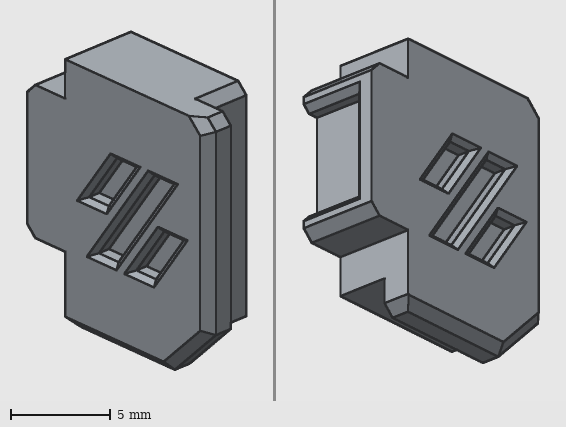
import cadquery as cq
import math

WIDTH = 13.2
DEPTH = 4.6
HEIGHT = 15.0
TAB_LENGTH = 2.77
TAB_BOTTOM = 4.2
TAB_TOP = 12.8
FLANGE_THICKNESS = 1.6
FLANGE_OVERHANG = 2.0
CORNER_CHAMFER = 0.6
BIG_CHAMFER = 3.0
FRONT_CHAMFER = 0.56

RECESS_DEPTH = 1.0
RECESS_FRONT = 1.2
RECESS_BOTTOM = 5.6
RECESS_TOP = 11.4
RECESS_CHAMFER = 0.4

SLOT_WIDTH = 2.16
SLOT_PITCH = 2.74
SLOT_SLANT = math.radians(35)
SLOT_DEPTH = 1.0
SLOT_CHAMFER = 0.3
SLOTS_LEFT = 4.36
SLOTS_BOTTOM = 4.48
LONG_SLOT_HEIGHT = 6.4
SHORT_SLOT_HEIGHT = 3.5


def prism(points, y_front, y_back):
    """Extrude an XZ outline from y_front to y_back."""
    plane = cq.Workplane("XZ", origin=(0, y_front, 0))
    return plane.polyline(points).close().extrude(y_front - y_back)


def make_flange():
    """Thin front plate with a bevelled front rim on the right and the bottom."""
    left = TAB_LENGTH
    outline = [
        (left, HEIGHT),
        (left, 0),
        (WIDTH - BIG_CHAMFER, 0),
        (WIDTH, BIG_CHAMFER),
        (WIDTH, HEIGHT - CORNER_CHAMFER),
        (WIDTH - CORNER_CHAMFER, HEIGHT),
    ]
    plate = prism(outline, 0, FLANGE_THICKNESS)
    plate = plate.faces("<Y").edges("not (<X or >Z)").chamfer(FRONT_CHAMFER)
    lower_left_corner = [(left, 0), (left + CORNER_CHAMFER, 0), (left, CORNER_CHAMFER)]
    return plate.cut(prism(lower_left_corner, 0, FLANGE_THICKNESS))


def make_body():
    """Thick block behind the flange, with its upper right corner cut off."""
    right = WIDTH - FLANGE_OVERHANG
    outline = [
        (TAB_LENGTH, FLANGE_OVERHANG),
        (right, FLANGE_OVERHANG),
        (right, HEIGHT - CORNER_CHAMFER),
        (right - CORNER_CHAMFER, HEIGHT),
        (TAB_LENGTH, HEIGHT),
    ]
    return prism(outline, 0, DEPTH)


def make_tab():
    """Chamfered tab on the left with a recess in its end that is open to the back."""
    outline = [
        (0, TAB_BOTTOM + CORNER_CHAMFER),
        (CORNER_CHAMFER, TAB_BOTTOM),
        (TAB_LENGTH, TAB_BOTTOM),
        (TAB_LENGTH, TAB_TOP),
        (CORNER_CHAMFER, TAB_TOP),
        (0, TAB_TOP - CORNER_CHAMFER),
    ]
    return prism(outline, 0, DEPTH).cut(recess_cutter())


def recess_outline(margin):
    """YZ outline of the recess, widened by margin on all but the open back side."""
    front = RECESS_FRONT - margin
    bottom = RECESS_BOTTOM - margin
    top = RECESS_TOP + margin
    return [(front, bottom), (DEPTH, bottom), (DEPTH, top), (front, top)]


def recess_cutter():
    """Straight recess with a flared mouth."""
    straight = cq.Workplane("YZ").polyline(recess_outline(0)).close().extrude(RECESS_DEPTH)
    mouth = cq.Workplane("YZ").polyline(recess_outline(RECESS_CHAMFER)).close()
    mouth = mouth.workplane(offset=RECESS_CHAMFER).polyline(recess_outline(0)).close().loft(ruled=True)
    return straight.union(mouth)


def slot_outline(left, bottom, height, inset):
    """Parallelogram of a slanted slot with all four sides moved inward by inset."""
    lean = math.tan(SLOT_SLANT)
    side_inset = inset / math.cos(SLOT_SLANT)
    low_left = left + inset * lean + side_inset
    high_left = left + (height - inset) * lean + side_inset
    width = SLOT_WIDTH - 2 * side_inset
    low = bottom + inset
    high = bottom + height - inset
    return [(low_left, low), (low_left + width, low), (high_left + width, high), (high_left, high)]


def slot_cutter(left, bottom, height):
    """Straight slanted slot with a chamfered mouth in the front face."""
    mouth_points = slot_outline(left, bottom, height, 0)
    wall_points = slot_outline(left, bottom, height, SLOT_CHAMFER)
    mouth = cq.Workplane("XZ").polyline(mouth_points).close()
    mouth = mouth.workplane(offset=-SLOT_CHAMFER).polyline(wall_points).close().loft(ruled=True)
    return mouth.union(prism(wall_points, 0, SLOT_DEPTH))


def cut_slots(part):
    """Long slot in the middle, a short one at its upper left and one at its lower right."""
    rise = LONG_SLOT_HEIGHT - SHORT_SLOT_HEIGHT
    upper_left = SLOTS_LEFT - SLOT_PITCH + rise * math.tan(SLOT_SLANT)
    slots = [
        (SLOTS_LEFT, SLOTS_BOTTOM, LONG_SLOT_HEIGHT),
        (upper_left, SLOTS_BOTTOM + rise, SHORT_SLOT_HEIGHT),
        (SLOTS_LEFT + SLOT_PITCH, SLOTS_BOTTOM, SHORT_SLOT_HEIGHT),
    ]
    for left, bottom, height in slots:
        part = part.cut(slot_cutter(left, bottom, height))
    return part


result = cut_slots(make_flange().union(make_body()).union(make_tab()))